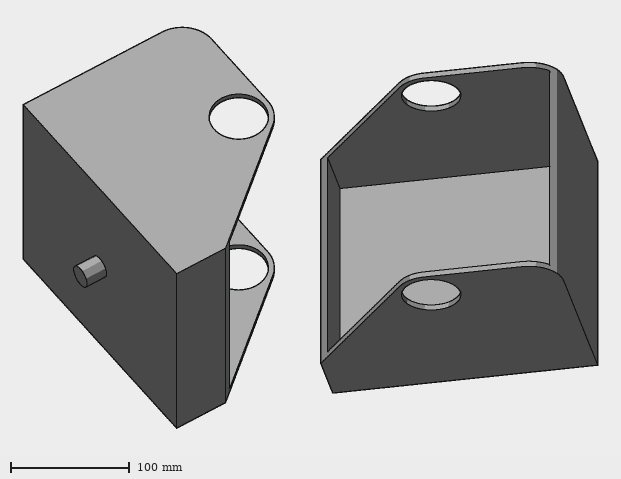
import cadquery as cq
import math

width = 228.0
depth = 172.0
height = 200.0
short_side_depth = 50.0
corner_radius = 30.0

plate_thickness = 5.0
wall_thickness = 8.0

hole_diameter = 50.0
pin_diameter = 20.0
pin_length = 20.0

hole_x = width / 2
hole_y = depth - corner_radius


def plan_point(angle):
    """Point on the rounded corner around the hole, at an angle from +X."""
    return (
        hole_x + corner_radius * math.cos(angle),
        hole_y + corner_radius * math.sin(angle),
    )


def make_body():
    """Full-height block with a rounded corner and a slanted rear edge."""
    run = width - hole_x
    drop = short_side_depth - hole_y
    tangent_angle = math.atan2(drop, run) + math.acos(corner_radius / math.hypot(run, drop))
    arc_middle_angle = (tangent_angle + math.pi / 2) / 2
    corner_offset = corner_radius * (1 - math.sqrt(0.5))
    return (
        cq.Workplane("XY")
        .moveTo(0, 0)
        .lineTo(width, 0)
        .lineTo(width, short_side_depth)
        .lineTo(*plan_point(tangent_angle))
        .threePointArc(plan_point(arc_middle_angle), (hole_x, depth))
        .lineTo(corner_radius, depth)
        .threePointArc((corner_offset, depth - corner_offset), (0, hole_y))
        .close()
        .extrude(height)
    )


def make_pocket():
    """Rectangular space between the plates, open at the rear and slanted edge."""
    return cq.Workplane("XY").box(
        width - 2 * wall_thickness,
        depth - wall_thickness,
        height - 2 * plate_thickness,
        centered=False,
    ).translate((wall_thickness, wall_thickness, plate_thickness))


def make_hole():
    """Vertical hole through both plates."""
    return cq.Workplane("XY").center(hole_x, hole_y).circle(hole_diameter / 2).extrude(height)


def make_pin():
    """Pin standing out from the middle of the front wall, toward -Y."""
    return (
        cq.Workplane("XZ")
        .center(width / 2, height / 2)
        .circle(pin_diameter / 2)
        .extrude(pin_length)
    )


result = make_body().cut(make_pocket()).cut(make_hole()).union(make_pin())